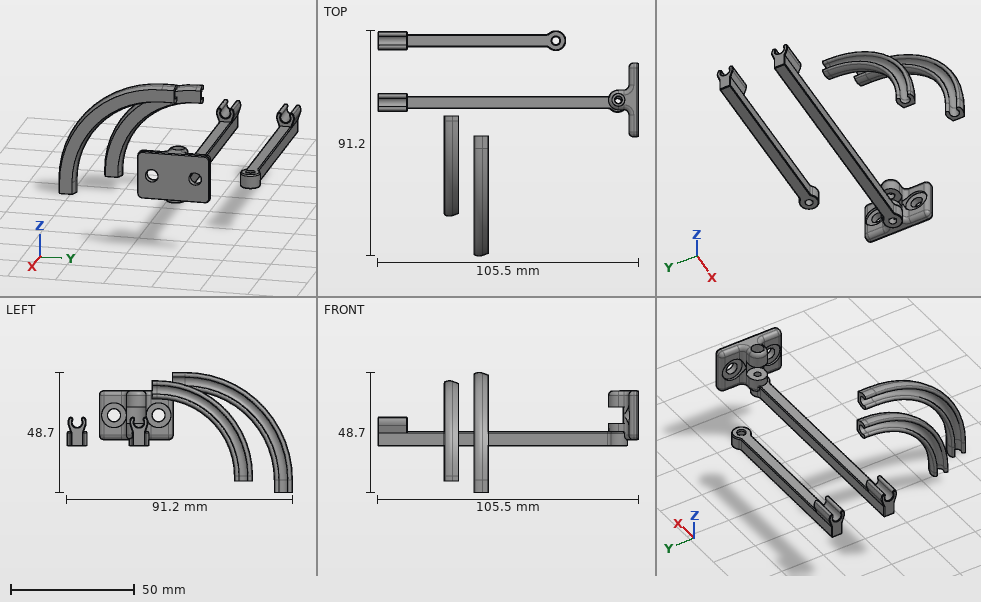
import cadquery as cq
import math

SMALL_CHAMFER = 0.3
BEVEL_DEPTH = 0.6
BEVEL_ANGLE = math.degrees(math.atan2(SMALL_CHAMFER, BEVEL_DEPTH))
BLEND_RADIUS = 2.0

GRIP_OUTER_RADIUS = 3.7
GRIP_BORE_RADIUS = 2.0
LIP_ANGLE = 26

ARM_WIDTH = 5.0
ARM_HEIGHT = 6.0
RING_RADIUS = 4.0
RING_HOLE_DIAMETER = 3.2
CLIP_LENGTH = 11.9
CLIP_CENTRE_Z = 9.6
SHORT_ARM_REACH = 72.0
LONG_ARM_REACH = 97.0
SHORT_ARM_Y = 25.0

CHANNEL_BACK_DEPTH = 3.7
CHANNEL_BACK_WIDTH = 5.2

PLATE_BACK_X = 105.5
PLATE_THICKNESS = 4.0
PLATE_WIDTH = 30.0
BRACKET_HEIGHT = 19.9
BRACKET_BOTTOM_Z = 2.5
BRACKET_Y = 1.1
LUG_RADIUS = 4.0
LUG_X = 97.3
SLOT_HEIGHT = 6.5
SLOT_RADIUS = 4.4
PIVOT_CLEARANCE_DIAMETER = 3.2
PIVOT_PILOT_DIAMETER = 2.8
PIVOT_HEAD_DIAMETER = 5.2
PIVOT_HEAD_DEPTH = 4.0
SCREW_HOLE_DIAMETER = 5.2
SCREW_HEAD_DIAMETER = 10.0
SCREW_HEAD_DEPTH = 1.1
SCREW_SPACING = 18.0


def polar(radius, degrees):
    angle = math.radians(degrees)
    return (radius * math.cos(angle), radius * math.sin(angle))


def mirrored(point):
    return (-point[0], point[1])


def grip_profile(plane, back_width, back_depth):
    """Outline of the grip, centred on its bore and open towards the local +Y."""
    back_corner = (back_width / 2, -back_depth)
    corner_distance = math.hypot(*back_corner)
    corner_angle = math.degrees(math.atan2(-back_depth, back_width / 2))
    tangent_angle = corner_angle + math.degrees(math.acos(GRIP_OUTER_RADIUS / corner_distance))
    lip_radius = (GRIP_OUTER_RADIUS - GRIP_BORE_RADIUS) / 2
    lip_x, lip_y = polar(GRIP_BORE_RADIUS + lip_radius, LIP_ANGLE)
    tip_x, tip_y = polar(lip_radius, LIP_ANGLE + 90)

    tangent_point = polar(GRIP_OUTER_RADIUS, tangent_angle)
    outer_middle = polar(GRIP_OUTER_RADIUS, (tangent_angle + LIP_ANGLE) / 2)
    outer_end = polar(GRIP_OUTER_RADIUS, LIP_ANGLE)
    lip_tip = (lip_x + tip_x, lip_y + tip_y)
    bore_end = polar(GRIP_BORE_RADIUS, LIP_ANGLE)
    return (
        cq.Workplane(plane)
        .moveTo(*mirrored(back_corner))
        .lineTo(*back_corner)
        .lineTo(*tangent_point)
        .threePointArc(outer_middle, outer_end)
        .threePointArc(lip_tip, bore_end)
        .threePointArc((0, -GRIP_BORE_RADIUS), mirrored(bore_end))
        .threePointArc(mirrored(lip_tip), mirrored(outer_end))
        .threePointArc(mirrored(outer_middle), mirrored(tangent_point))
        .close()
    )


def add_beveled_layer(body, face_selector):
    """Continue the selected flat face by one layer whose sides lean inwards."""
    outline = body.faces(face_selector).wires().toPending().end()
    return outline.workplane().extrude(BEVEL_DEPTH, taper=BEVEL_ANGLE)


def make_arm(reach, y):
    """Straight arm with a snap clip at X = 0 and a pivot ring at X = reach."""
    side_height = ARM_HEIGHT - BEVEL_DEPTH
    bar = cq.Workplane("XY").box(reach, ARM_WIDTH, side_height, centered=(False, True, False))
    ring = cq.Workplane("XY").center(reach, 0).circle(RING_RADIUS).extrude(side_height)
    neck = cq.selectors.BoxSelector((reach - RING_RADIUS, -RING_RADIUS, 0), (reach, RING_RADIUS, side_height))
    arm = bar.union(ring).edges("|Z").edges(neck).fillet(BLEND_RADIUS)
    arm = add_beveled_layer(arm, ">Z")
    arm = arm.faces("<Z").edges("not <X").chamfer(SMALL_CHAMFER)
    pivot = cq.Workplane("XY", origin=(reach, 0, ARM_HEIGHT))
    arm = arm.cut(pivot.circle(RING_HOLE_DIAMETER / 2).extrude(-ARM_HEIGHT))
    arm = arm.cut(pivot.circle(RING_HOLE_DIAMETER / 2 + SMALL_CHAMFER).extrude(-BEVEL_DEPTH, taper=BEVEL_ANGLE))

    clip_plane = cq.Plane(origin=(0, 0, CLIP_CENTRE_Z), xDir=(0, 1, 0), normal=(1, 0, 0))
    clip = grip_profile(clip_plane, ARM_WIDTH, CLIP_CENTRE_Z - side_height).extrude(CLIP_LENGTH)
    foot = cq.Workplane("XY").box(CLIP_LENGTH, ARM_WIDTH, side_height, centered=(False, True, False))
    foot = foot.faces("<Z").edges("|X").chamfer(SMALL_CHAMFER)
    arm = arm.cut(cq.Workplane("XY").box(2 * CLIP_LENGTH, 2 * ARM_WIDTH, 2 * ARM_HEIGHT))
    arm = arm.union(foot.union(clip))
    arm = arm.faces("<X").edges().chamfer(SMALL_CHAMFER)
    inner_end = cq.selectors.BoxSelector(
        (CLIP_LENGTH - 0.1, -2 * RING_RADIUS, ARM_HEIGHT + 0.1),
        (CLIP_LENGTH + 0.1, 2 * RING_RADIUS, 2 * CLIP_CENTRE_Z),
    )
    arm = arm.edges(inner_end).chamfer(SMALL_CHAMFER)
    return arm.translate((0, y, 0))


def make_channel(back_x, bend_y, bend_z, bend_radius, straight):
    """Grip profile swept through a quarter bend, with a straight run at each end."""
    plane = cq.Plane(
        origin=(back_x - CHANNEL_BACK_DEPTH, bend_y + straight, bend_z + bend_radius),
        xDir=(0, 0, 1),
        normal=(0, -1, 0),
    )
    diagonal = bend_radius * math.sqrt(0.5)
    path = (
        cq.Workplane("YZ", origin=(back_x - CHANNEL_BACK_DEPTH, 0, 0))
        .moveTo(bend_y + straight, bend_z + bend_radius)
        .lineTo(bend_y, bend_z + bend_radius)
        .threePointArc((bend_y - diagonal, bend_z + diagonal), (bend_y - bend_radius, bend_z))
        .lineTo(bend_y - bend_radius, bend_z - straight)
    )
    return grip_profile(plane, CHANNEL_BACK_WIDTH, CHANNEL_BACK_DEPTH).sweep(path)


def make_bracket():
    """Wall plate with two lugs that straddle the pivot slot."""
    face_x = PLATE_BACK_X - PLATE_THICKNESS
    bevel_x = PLATE_BACK_X - BEVEL_DEPTH
    half_width = PLATE_WIDTH / 2
    middle_z = BRACKET_BOTTOM_Z + BRACKET_HEIGHT / 2
    base = cq.Workplane("XY", origin=(0, BRACKET_Y, BRACKET_BOTTOM_Z))

    body = (
        base.moveTo(bevel_x, -half_width)
        .lineTo(bevel_x, half_width)
        .lineTo(face_x, half_width)
        .lineTo(face_x, LUG_RADIUS)
        .lineTo(LUG_X, LUG_RADIUS)
        .threePointArc((LUG_X - LUG_RADIUS, 0), (LUG_X, -LUG_RADIUS))
        .lineTo(face_x, -LUG_RADIUS)
        .lineTo(face_x, -half_width)
        .close()
        .extrude(BRACKET_HEIGHT)
    )
    web_corners = cq.selectors.BoxSelector(
        (face_x - 0.1, BRACKET_Y - LUG_RADIUS - 0.1, 0),
        (face_x + 0.1, BRACKET_Y + LUG_RADIUS + 0.1, BRACKET_BOTTOM_Z + BRACKET_HEIGHT),
    )
    body = body.edges("|Z").edges(web_corners).fillet(BLEND_RADIUS)
    plate_sides = body.edges("|X").edges(">Y or <Y")
    front_sides = body.faces(">Y or <Y").edges("<X")
    rims = body.faces(">Z or <Z").edges("not >X").edges("not(>Y or <Y)")
    body = body.newObject(plate_sides.vals() + front_sides.vals() + rims.vals()).fillet(BLEND_RADIUS)
    body = add_beveled_layer(body, ">X")

    slot = (
        cq.Workplane("XY", origin=(LUG_X, BRACKET_Y, middle_z - SLOT_HEIGHT / 2))
        .circle(SLOT_RADIUS)
        .extrude(SLOT_HEIGHT)
    )
    body = body.cut(slot)

    pivot = base.center(LUG_X, 0)
    body = body.cut(pivot.circle(PIVOT_PILOT_DIAMETER / 2).extrude(BRACKET_HEIGHT))
    upper = pivot.workplane(offset=BRACKET_HEIGHT / 2)
    body = body.cut(upper.circle(PIVOT_CLEARANCE_DIAMETER / 2).extrude(BRACKET_HEIGHT / 2))
    head = pivot.workplane(offset=BRACKET_HEIGHT - PIVOT_HEAD_DEPTH)
    body = body.cut(head.circle(PIVOT_HEAD_DIAMETER / 2).extrude(PIVOT_HEAD_DEPTH))

    for side in (-1, 1):
        screw = cq.Workplane("YZ", origin=(PLATE_BACK_X, BRACKET_Y + side * SCREW_SPACING / 2, middle_z))
        hole = screw.circle(SCREW_HOLE_DIAMETER / 2).extrude(-PLATE_THICKNESS)
        seat = screw.workplane(offset=SCREW_HEAD_DEPTH - PLATE_THICKNESS)
        recess = seat.circle(SCREW_HEAD_DIAMETER / 2).extrude(-PLATE_THICKNESS)
        body = body.cut(hole).cut(recess)
    return body


short_arm = make_arm(SHORT_ARM_REACH, SHORT_ARM_Y)
long_arm = make_arm(LONG_ARM_REACH, 0)
small_channel = make_channel(back_x=32.6, bend_y=-7.4, bend_z=-12.1, bend_radius=34.9, straight=2.0)
large_channel = make_channel(back_x=44.6, bend_y=-18.6, bend_z=-13.7, bend_radius=39.9, straight=5.1)
bracket = make_bracket().cut(long_arm)

result = cq.Compound.makeCompound(
    [short_arm.val(), long_arm.val(), small_channel.val(), large_channel.val(), bracket.val()]
)